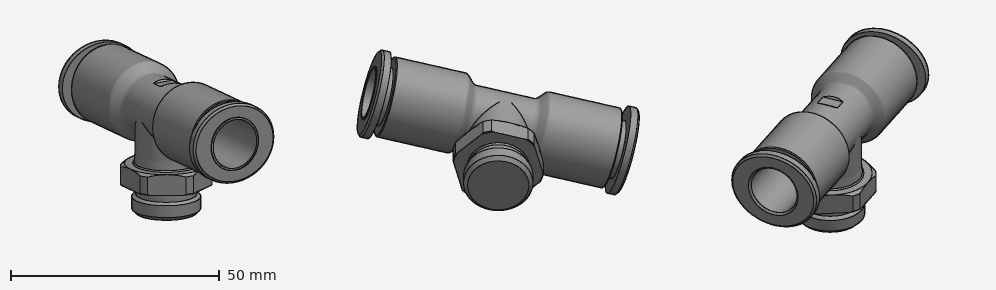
import cadquery as cq
import math

TOTAL_LENGTH = 64.4
LIP_HEIGHT = 0.2
END_X = (TOTAL_LENGTH - LIP_HEIGHT) / 2
COLLAR_THICKNESS = 2.25
COLLAR_WIDTH = 22.5
COLLAR_EDGE = 0.5
NECK_RADIUS = 7.15

BORE_RADIUS = 6.05
BORE_DEPTH = 21.25
MOUTH_CHAMFER = 0.5
MOUTH_RADIUS = BORE_RADIUS + MOUTH_CHAMFER

SOCKET_RADIUS = 9.85
SOCKET_END_X = 28.2
SOCKET_EDGE = 0.25
COLLAR_HEIGHT = 2 * SOCKET_RADIUS
WAIST_RADIUS = 7.55
SHOULDER_X = 7.8
SHOULDER_FILLET = 0.9
WAIST_FILLET = 1.3

NOTCH_LENGTH = 3.1
NOTCH_WIDTH = 5.3

TOTAL_HEIGHT = 34.85
BRANCH_BOTTOM_Z = SOCKET_RADIUS - TOTAL_HEIGHT
STEM_RING_TOP_Z = -10.4
HEX_TOP_Z = -12.8
HEX_BOTTOM_Z = -17.95
STEM_RING_RADIUS = 7.7
STEM_FLARE = 0.3
HEX_SIDES = 6
HEX_FLATS = 20.0
HEX_CORNER_RADIUS = 11.0
HEX_CHAMFER_ANGLE = 30
HEX_BOTTOM_EDGE = 0.2
THREAD_RADIUS = 8.3
GROOVE_RADIUS = 7.35
GROOVE_FLARE = 0.2
GROOVE_FLARE_HEIGHT = 0.6
GROOVE_BOTTOM_Z = -20.5
THREAD_TOP_CHAMFER = 0.6
THREAD_END_CHAMFER = THREAD_RADIUS - GROOVE_RADIUS


def revolved_about_z(radius_z_points):
    """Solid of revolution about Z from an outline of (radius, z) points."""
    return cq.Workplane("XZ").polyline(radius_z_points).close().revolve(360, (0, 0), (0, 1))


def at_x(x):
    """Selector for the circular edge of the run lying in the plane at x."""
    margin = 0.05
    reach = COLLAR_WIDTH
    return cq.selectors.BoxSelector(
        (x - margin, -reach, -reach),
        (x + margin, reach, reach),
    )


def socket():
    """The +X half of the run: waist, filleted shoulder and socket."""
    shoulder_end_x = SHOULDER_X + SOCKET_RADIUS - WAIST_RADIUS
    outline = [
        (0, 0),
        (0, WAIST_RADIUS),
        (SHOULDER_X, WAIST_RADIUS),
        (shoulder_end_x, SOCKET_RADIUS),
        (SOCKET_END_X, SOCKET_RADIUS),
        (SOCKET_END_X, 0),
    ]
    body = cq.Workplane("XZ").polyline(outline).close().revolve(360, (0, 0), (1, 0))
    body = body.faces(">X").edges().chamfer(SOCKET_EDGE)
    body = body.edges(at_x(shoulder_end_x)).fillet(SHOULDER_FILLET)
    return body.edges(at_x(SHOULDER_X)).fillet(WAIST_FILLET)


def collar():
    """The +X release collar: round neck and elliptical flange."""
    flange_x = END_X - COLLAR_THICKNESS
    neck_length = flange_x - SOCKET_END_X
    neck = cq.Workplane("YZ").workplane(offset=SOCKET_END_X).circle(NECK_RADIUS).extrude(neck_length)
    flange = (
        cq.Workplane("YZ")
        .workplane(offset=flange_x)
        .ellipse(COLLAR_WIDTH / 2, COLLAR_HEIGHT / 2)
        .extrude(COLLAR_THICKNESS)
        .faces(">X")
        .edges()
        .chamfer(COLLAR_EDGE)
    )
    return neck.union(flange)


def bore():
    """Cutter for the +X blind tube bore."""
    return cq.Workplane("YZ").workplane(offset=END_X).circle(BORE_RADIUS).extrude(-BORE_DEPTH)


def mouth_chamfer():
    """Conical cutter for the bore mouth at the +X end."""
    outline = [
        (END_X, 0),
        (END_X, MOUTH_RADIUS),
        (END_X - MOUTH_CHAMFER, BORE_RADIUS),
        (END_X - MOUTH_CHAMFER, 0),
    ]
    return cq.Workplane("XZ").polyline(outline).close().revolve(360, (0, 0), (1, 0))


def mouth_lip():
    """Thin raised ring around the +X bore mouth."""
    end_face = cq.Workplane("YZ").workplane(offset=END_X)
    return end_face.circle(MOUTH_RADIUS).circle(BORE_RADIUS).extrude(LIP_HEIGHT)


def mirrored_to_left(shape):
    """Copy of a +X feature at the -X end."""
    return shape.mirror("YZ")


def hexagon():
    """Hexagon with flats facing Y, corners turned round and chamfered."""
    height = HEX_TOP_Z - HEX_BOTTOM_Z
    across_corners = HEX_FLATS / math.cos(math.pi / HEX_SIDES)
    prism = (
        cq.Workplane("XY")
        .workplane(offset=HEX_BOTTOM_Z)
        .polygon(HEX_SIDES, across_corners)
        .extrude(height)
    )
    top_radius = HEX_FLATS / 2
    top_drop = (HEX_CORNER_RADIUS - top_radius) * math.tan(math.radians(HEX_CHAMFER_ANGLE))
    envelope = revolved_about_z([
        (0, HEX_BOTTOM_Z),
        (HEX_CORNER_RADIUS - HEX_BOTTOM_EDGE, HEX_BOTTOM_Z),
        (HEX_CORNER_RADIUS, HEX_BOTTOM_Z + HEX_BOTTOM_EDGE),
        (HEX_CORNER_RADIUS, HEX_TOP_Z - top_drop),
        (top_radius, HEX_TOP_Z),
        (0, HEX_TOP_Z),
    ])
    return prism.intersect(envelope)


def branch_shaft():
    """Stem, flared ring under it, relief groove and thread as one turned shape."""
    return revolved_about_z([
        (0, 0),
        (WAIST_RADIUS, 0),
        (WAIST_RADIUS, STEM_RING_TOP_Z),
        (STEM_RING_RADIUS, HEX_TOP_Z + STEM_FLARE),
        (STEM_RING_RADIUS + STEM_FLARE, HEX_TOP_Z),
        (GROOVE_RADIUS + GROOVE_FLARE, HEX_BOTTOM_Z),
        (GROOVE_RADIUS, HEX_BOTTOM_Z - GROOVE_FLARE_HEIGHT),
        (GROOVE_RADIUS, GROOVE_BOTTOM_Z),
        (THREAD_RADIUS, GROOVE_BOTTOM_Z - THREAD_TOP_CHAMFER),
        (THREAD_RADIUS, BRANCH_BOTTOM_Z + THREAD_END_CHAMFER),
        (THREAD_RADIUS - THREAD_END_CHAMFER, BRANCH_BOTTOM_Z),
        (0, BRANCH_BOTTOM_Z),
    ])


def notch():
    """Cutter with 45 degree end walls; its floor meets the waist at the notch width."""
    floor_z = math.sqrt(WAIST_RADIUS**2 - (NOTCH_WIDTH / 2) ** 2)
    rise = WAIST_RADIUS - floor_z
    half = NOTCH_LENGTH / 2
    outline = [
        (-half, floor_z),
        (half, floor_z),
        (half + rise, WAIST_RADIUS),
        (-half - rise, WAIST_RADIUS),
    ]
    return cq.Workplane("XZ").polyline(outline).close().extrude(NOTCH_WIDTH, both=True)


run_half = socket().union(collar()).cut(bore())
run = run_half.union(mirrored_to_left(run_half))
run = run.cut(mirrored_to_left(mouth_chamfer())).union(mouth_lip())
result = run.union(branch_shaft()).union(hexagon()).cut(notch())